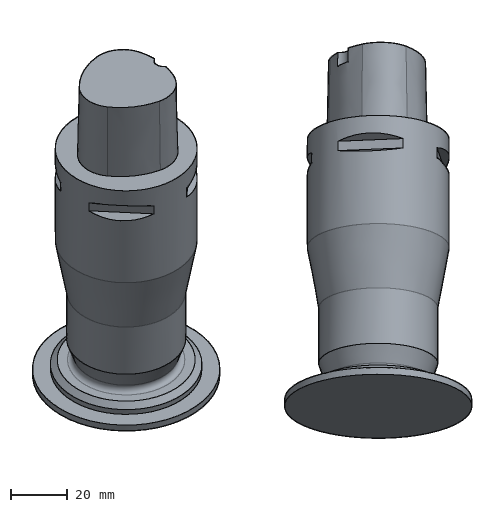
import cadquery as cq
import math

disc_diameter = 66.0
disc_thickness = 2.6

total_height = 130.0
flange_edge_height = 4.7
flange_top_height = 6.6
neck_top_height = 16.0
shank_top_height = 36.8
collar_bottom_height = 59.4
coupling_length = 30.0
collar_top_height = total_height - coupling_length

flange_radius = 53.4 / 2
flange_top_radius = 24.3
shank_radius = 42.0 / 2
collar_radius = 50.0 / 2

neck_fillet_radius = 2.1
neck_fillet_outer_radius = 20.7
neck_angle = math.radians(20)

lobe_reach = 18.6
flank_reach = 16.5
lobe_centre_distance = 6.0
coupling_taper = math.degrees(math.atan(0.02))
lobe_angles = (30, 150, 270)

notch_radius = 3.4
notch_centre_y = 17.4
notch_depth = 5.2

groove_count = 4
groove_first_angle = 45
groove_centre_height = 90.1
groove_floor_width = 3.5
groove_floor_distance = 22.2
groove_wall_angle = math.radians(30)


def polar(radius, degrees):
    """Point at the given radius and angle."""
    angle = math.radians(degrees)
    return radius * math.cos(angle), radius * math.sin(angle)


def make_disc():
    return cq.Workplane("XY").circle(disc_diameter / 2).extrude(disc_thickness)


def make_turned_body():
    """Revolve the flange, neck, shank, cone and collar."""
    fillet_height = flange_top_height + neck_fillet_radius

    def fillet_point(angle):
        radius = neck_fillet_outer_radius - neck_fillet_radius * math.cos(angle)
        return radius, fillet_height + neck_fillet_radius * math.sin(angle)

    fillet_middle_angle = (neck_angle - math.pi / 2) / 2
    return (
        cq.Workplane("XZ")
        .moveTo(0, disc_thickness)
        .lineTo(flange_radius, disc_thickness)
        .lineTo(flange_radius, flange_edge_height)
        .lineTo(flange_top_radius, flange_top_height)
        .lineTo(neck_fillet_outer_radius, flange_top_height)
        .threePointArc(fillet_point(fillet_middle_angle), fillet_point(neck_angle))
        .lineTo(shank_radius, neck_top_height)
        .lineTo(shank_radius, shank_top_height)
        .lineTo(collar_radius, collar_bottom_height)
        .lineTo(collar_radius, collar_top_height)
        .lineTo(0, collar_top_height)
        .close()
        .revolve(360, (0, 0, 0), (0, 1, 0))
    )


def make_coupling():
    """Taper a rounded triangle made of three lobe arcs and three tangent flank arcs."""
    reach_difference = lobe_reach - flank_reach
    flank_centre_distance = (
        (2 * reach_difference * lobe_centre_distance - reach_difference**2)
        / (lobe_centre_distance - 2 * reach_difference)
    )
    flank_radius = flank_reach + flank_centre_distance

    lobe_x, lobe_y = polar(lobe_centre_distance, lobe_angles[0])
    normal_angle = math.degrees(math.atan2(lobe_y + flank_centre_distance, lobe_x))
    join_x, join_y = polar(flank_radius, normal_angle)
    join_y -= flank_centre_distance
    join_radius = math.hypot(join_x, join_y)
    half_lobe_angle = math.degrees(math.atan2(join_y, join_x)) - lobe_angles[0]

    outline = cq.Workplane("XY", origin=(0, 0, collar_top_height))
    outline = outline.moveTo(*polar(join_radius, lobe_angles[0] - half_lobe_angle))
    for angle in lobe_angles:
        outline = outline.threePointArc(
            polar(lobe_reach, angle), polar(join_radius, angle + half_lobe_angle)
        )
        outline = outline.threePointArc(
            polar(flank_reach, angle + 60), polar(join_radius, angle + 120 - half_lobe_angle)
        )
    return outline.close().extrude(coupling_length, taper=coupling_taper)


def make_notch():
    return (
        cq.Workplane("XY", origin=(0, notch_centre_y, total_height - notch_depth))
        .circle(notch_radius)
        .extrude(notch_depth)
    )


def make_groove(angle):
    """Straight groove with sloping walls, cut across the collar at one angle."""
    depth = collar_radius - groove_floor_distance
    floor_half_width = groove_floor_width / 2
    mouth_half_width = floor_half_width + depth * math.tan(groove_wall_angle)
    return (
        cq.Workplane("XZ")
        .moveTo(groove_floor_distance, groove_centre_height - floor_half_width)
        .lineTo(collar_radius, groove_centre_height - mouth_half_width)
        .lineTo(collar_radius, groove_centre_height + mouth_half_width)
        .lineTo(groove_floor_distance, groove_centre_height + floor_half_width)
        .close()
        .extrude(collar_radius, both=True)
        .rotate((0, 0, 0), (0, 0, 1), angle)
    )


def make_holder():
    holder = make_turned_body().union(make_coupling()).cut(make_notch())
    for index in range(groove_count):
        holder = holder.cut(make_groove(groove_first_angle + index * 360 / groove_count))
    return holder


disc = make_disc()
holder = make_holder()
result = cq.Compound.makeCompound([disc.val(), holder.solids().val()])